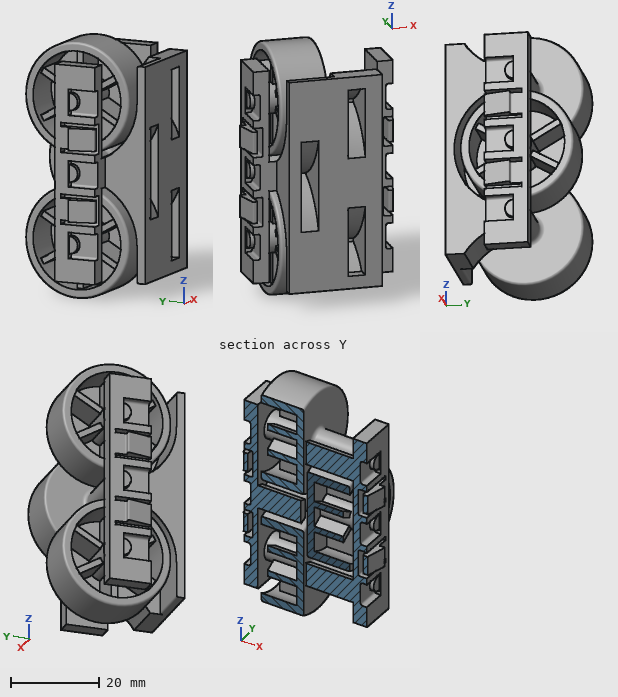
import cadquery as cq
import math


wheel_diameter = 26.0
wheel_radius = wheel_diameter / 2
wheel_spacing = (59 - wheel_diameter) / 2
wheel_inner_face = 0.4
wheel_width = 11.5
rim_fillet = 0.6
recess_diameter = 22.0
web_thickness = 2.0
hub_diameter = 7.0
hub_end = 12.6
sleeve_diameter = 6.0
sleeve_fillet = 1.0
bore_diameter = 4.2
spoke_count = 6
spoke_width = 1.5
spoke_setback = 1.75

pin_diameter = 4.0
pin_end = 15.8
pin_hole_end = 16.05

rail_inner = 12.75
rail_outer = 16.45
rail_top = 3.35
rail_bottom = -6.6
frame_half_length = 25.0

pin_pocket_depth = 1.65
pin_pocket_height = 6.0
pocket_fillet = 0.55

hook_pocket_depth = 2.25
hook_pocket_height = 6.9
hook_pocket_top = 1.95
hook_height = 5.1
hook_arm_inner = 15.45
hook_tip = 18.0
hook_top = -0.6
hook_toe = 16.5
hook_fillet = 0.25
hook_pocket_fillet = 0.4

wheel_clearance = 1.6
clearance_radius = wheel_radius + wheel_clearance
plate_thickness = 2.0
plate_inner = -clearance_radius
plate_front = plate_inner - plate_thickness
plate_half_width = 11.0
plate_edge_fillet = 0.55
block_top = -4.15
left_clearance_end = 0.05
right_clearance_start = -1.2

block_wall = 3.0
hollow_radius = clearance_radius + block_wall
hollow_width = 4.0
left_hollow_x = -6.1
right_hollow_x = 4.95

wheel_heights = [-wheel_spacing, 0, wheel_spacing]
hook_heights = [-wheel_spacing / 2, wheel_spacing / 2]


def box(x_range, y_range, z_range):
    """Box between two limits along each axis."""
    sizes = [high - low for low, high in (x_range, y_range, z_range)]
    centre = [(low + high) / 2 for low, high in (x_range, y_range, z_range)]
    return cq.Workplane("XY").box(*sizes).translate(tuple(centre))


def axle_cylinder(radius, x_start, x_end, z=0):
    """Cylinder along X at axle height z."""
    return (
        cq.Workplane("YZ", origin=(x_start, 0, z)).circle(radius).extrude(x_end - x_start)
    )


def make_wheel():
    """Spoked wheel with a long sleeve, open side toward +X, centred on Z = 0."""
    outer_face = wheel_inner_face + wheel_width
    web_face = wheel_inner_face + web_thickness
    recess_radius = recess_diameter / 2

    rim = axle_cylinder(wheel_radius, wheel_inner_face, outer_face).edges().fillet(rim_fillet)
    wheel = rim.cut(axle_cylinder(recess_radius, web_face, outer_face))
    wheel = wheel.union(axle_cylinder(hub_diameter / 2, wheel_inner_face, hub_end))

    spoke_end = outer_face - spoke_setback
    spoke_overlap = 0.3
    for i in range(spoke_count):
        spoke = box(
            (wheel_inner_face, spoke_end),
            (-spoke_width / 2, spoke_width / 2),
            (0, recess_radius + spoke_overlap),
        )
        wheel = wheel.union(spoke.rotate((0, 0, 0), (1, 0, 0), i * 360 / spoke_count))

    sleeve_radius = sleeve_diameter / 2
    flare_centre = (wheel_inner_face - sleeve_fillet, sleeve_radius + sleeve_fillet)
    flare_middle = (
        flare_centre[0] + sleeve_fillet * math.sqrt(0.5),
        flare_centre[1] - sleeve_fillet * math.sqrt(0.5),
    )
    sleeve = (
        cq.Workplane("XY")
        .moveTo(-hub_end, 0)
        .lineTo(-hub_end, sleeve_radius)
        .lineTo(flare_centre[0], sleeve_radius)
        .threePointArc(flare_middle, (wheel_inner_face, flare_centre[1]))
        .lineTo(wheel_inner_face + web_thickness / 2, flare_centre[1])
        .lineTo(wheel_inner_face + web_thickness / 2, 0)
        .close()
        .revolve(360, (0, 0, 0), (1, 0, 0))
    )
    return wheel.union(sleeve).cut(axle_cylinder(bore_diameter / 2, -hub_end, hub_end))


def make_pin(z):
    return axle_cylinder(pin_diameter / 2, -pin_end, pin_end, z)


def make_hook(z):
    """Spring arm with a wedge-shaped hook, on the +X rail."""
    hook = (
        cq.Workplane("XY", origin=(0, 0, z - hook_height / 2))
        .moveTo(hook_arm_inner, hook_pocket_top)
        .lineTo(rail_outer, hook_pocket_top)
        .lineTo(rail_outer, hook_top)
        .lineTo(hook_tip, hook_top)
        .lineTo(hook_toe, rail_bottom)
        .lineTo(hook_arm_inner, rail_bottom)
        .close()
        .extrude(hook_height)
    )
    rounded_corners = [
        (rail_outer, hook_top),
        (hook_tip, hook_top),
        (hook_toe, rail_bottom),
        (hook_arm_inner, rail_bottom),
    ]
    for corner in rounded_corners:
        edge = cq.selectors.NearestToPointSelector((*corner, z))
        hook = hook.edges(edge).fillet(hook_fillet)
    return hook


def rail_pocket(depth, height, top, floor_fillet, z):
    """Pocket in the outer face of the +X rail, open at the rail's bottom."""
    floor = rail_outer - depth
    pocket = box((floor, rail_outer), (rail_bottom, top), (z - height / 2, z + height / 2))
    return pocket.edges("<X and |Y").fillet(floor_fillet)


def make_rail():
    """Side rail on the +X side."""
    rail = box(
        (rail_inner, rail_outer),
        (rail_bottom, rail_top),
        (-frame_half_length, frame_half_length),
    )
    for z in wheel_heights:
        rail = rail.cut(rail_pocket(pin_pocket_depth, pin_pocket_height, 0, pocket_fillet, z))
        rail = rail.cut(axle_cylinder(bore_diameter / 2, rail_inner, pin_hole_end, z))
    for z in hook_heights:
        pocket = rail_pocket(
            hook_pocket_depth, hook_pocket_height, hook_pocket_top, hook_pocket_fillet, z
        )
        rail = rail.cut(pocket).union(make_hook(z))
    return rail


def hollow(x_centre, z):
    """Hollow tapering to a ridge, bounded by arcs around the wheel places on either side of z."""
    x_range = (x_centre - hollow_width / 2, x_centre + hollow_width / 2)
    shape = box(x_range, (plate_front, block_top), (z - wheel_spacing, z + wheel_spacing))
    for side in (-1, 1):
        shape = shape.cut(axle_cylinder(hollow_radius, *x_range, z + side * wheel_spacing))
    return shape


def make_base():
    """Base plate with the blocks that fill the places between the wheels."""
    z_range = (-frame_half_length, frame_half_length)
    base = box((-plate_half_width, plate_half_width), (plate_front, block_top), z_range)
    base = base.union(box((-rail_inner, rail_inner), (rail_bottom, block_top), z_range))

    left_range = (-rail_inner, left_clearance_end)
    for side in (-1, 1):
        axle_z = side * wheel_spacing
        base = base.cut(axle_cylinder(clearance_radius, *left_range, axle_z))
        end_z = side * frame_half_length
        base = base.cut(
            box(left_range, (plate_inner, block_top), (min(axle_z, end_z), max(axle_z, end_z)))
        )

    right_range = (right_clearance_start, rail_inner)
    for z in (-2 * wheel_spacing, 0, 2 * wheel_spacing):
        base = base.cut(axle_cylinder(clearance_radius, *right_range, z))

    for side in (-1, 1):
        edge_point = (-plate_half_width / 2, plate_inner, side * frame_half_length)
        base = base.edges(cq.selectors.NearestToPointSelector(edge_point)).fillet(plate_edge_fillet)

    base = base.cut(hollow(left_hollow_x, 0))

    end_limit = frame_half_length - block_wall
    inside = box(
        (-rail_inner, rail_inner),
        (plate_front, block_top - block_wall),
        (-end_limit, end_limit),
    )
    for z in (-wheel_spacing, wheel_spacing):
        base = base.cut(hollow(right_hollow_x, z).intersect(inside))
    return base


def make_frame():
    rail = make_rail()
    return make_base().union(rail).union(rail.mirror("YZ"))


frame = make_frame()

wheel = make_wheel()
wheels = []
for height in wheel_heights:
    turned = wheel if height == 0 else wheel.mirror("YZ")
    wheels.append(turned.translate((0, 0, height)))

pins = [make_pin(height) for height in wheel_heights]

result = cq.Compound.makeCompound([body.val() for body in [frame, *wheels, *pins]])